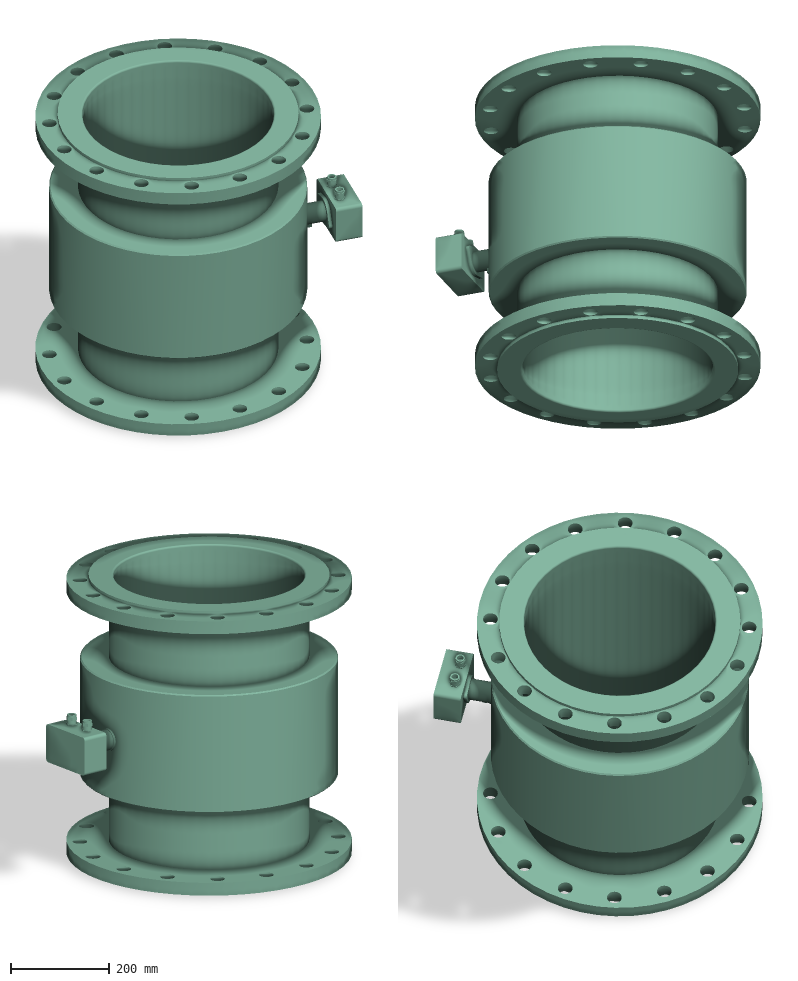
import cadquery as cq
import math

FACE_TO_FACE = 600.0
FLANGE_DIAMETER = 580.0
FLANGE_THICKNESS = 27.0
RAISED_FACE_DIAMETER = 490.0
RAISED_FACE_HEIGHT = 7.0
TUBE_DIAMETER = 407.5
BORE_DIAMETER = 389.0
BORE_LIP_RADIUS = 4.0

BOLT_COUNT = 16
BOLT_HOLE_DIAMETER = 30.0
BOLT_CIRCLE_DIAMETER = 526.0
BOLT_PATTERN_TURN = -1.2

DRUM_DIAMETER = 524.5
DRUM_LENGTH = 251.5
DRUM_WALL = 2.0
DRUM_END_PLATE = 8.5
DRUM_CHAMFER = 2.5

OVERALL_DEPTH = 664.0
BOX_WIDTH = 125.5
BOX_DEPTH = 56.5
BOX_HEIGHT = 81.0
BOX_EDGE_RADIUS = 6.5

PLATE_THICKNESS = 7.0
PLATE_HUB_DIAMETER = 58.0
PLATE_EAR_RADIUS = 6.3
PLATE_EAR_OFFSET = 36.0
PLATE_TILT = 26.0

NECK_DIAMETER = 43.0
COLLAR_DIAMETER = 46.5
COLLAR_HEIGHT = 4.0

STUD_WIDTH = 9.0
STUD_LENGTH = 30.5
STUD_Y = 280.0

GLAND_SPACING = 50.5
GLAND_Y = 337.0
GLAND_HEX_FLATS = 19.0
GLAND_BODY_DIAMETER = 18.5
GLAND_BORE_DIAMETER = 13.0
GLAND_BASE_HEIGHT = 2.5
GLAND_NUT_START = 11.0
GLAND_NUT_HEIGHT = 6.0
GLAND_HEIGHT = 22.0

HEAD_BACK_Y = OVERALL_DEPTH - FLANGE_DIAMETER / 2
DRUM_RADIUS = DRUM_DIAMETER / 2
BOX_FRONT_Y = HEAD_BACK_Y - BOX_DEPTH
PLATE_FRONT_Y = BOX_FRONT_Y - PLATE_THICKNESS


def disc(diameter, bottom_z, height):
    return cq.Workplane("XY").workplane(offset=bottom_z).circle(diameter / 2).extrude(height)


def cylinder_along_y(diameter, start_y, end_y):
    return cq.Workplane("XZ", origin=(0, start_y, 0)).circle(diameter / 2).extrude(start_y - end_y)


def bolt_holes():
    pitch = 360 / BOLT_COUNT
    return (
        cq.Workplane("XY")
        .workplane(offset=-FACE_TO_FACE / 2)
        .polarArray(BOLT_CIRCLE_DIAMETER / 2, pitch / 2 + BOLT_PATTERN_TURN, 360, BOLT_COUNT)
        .circle(BOLT_HOLE_DIAMETER / 2)
        .extrude(FACE_TO_FACE)
    )


def make_flanged_tube():
    end_z = FACE_TO_FACE / 2
    flange_outer_z = end_z - RAISED_FACE_HEIGHT
    flange_inner_z = flange_outer_z - FLANGE_THICKNESS
    tube = disc(TUBE_DIAMETER, -end_z, FACE_TO_FACE)
    for flange_bottom in (flange_inner_z, -flange_outer_z):
        tube = tube.union(disc(FLANGE_DIAMETER, flange_bottom, FLANGE_THICKNESS))
    for face_bottom in (flange_outer_z, -end_z):
        tube = tube.union(disc(RAISED_FACE_DIAMETER, face_bottom, RAISED_FACE_HEIGHT))
    tube = tube.cut(bolt_holes())
    tube = tube.cut(disc(BORE_DIAMETER, -end_z, FACE_TO_FACE))
    bore_mouths = cq.selectors.RadiusNthSelector(0)
    return tube.faces("<Z or >Z").edges(bore_mouths).fillet(BORE_LIP_RADIUS)


def make_drum():
    """Thin-walled chamfered drum; its end plates fit the tube, which closes the cavity."""
    cavity_length = DRUM_LENGTH - 2 * DRUM_END_PLATE
    drum = disc(DRUM_DIAMETER, -DRUM_LENGTH / 2, DRUM_LENGTH)
    drum = drum.faces("<Z or >Z").edges().chamfer(DRUM_CHAMFER)
    drum = drum.cut(disc(DRUM_DIAMETER - 2 * DRUM_WALL, -cavity_length / 2, cavity_length))
    return drum.cut(disc(TUBE_DIAMETER, -DRUM_LENGTH / 2, DRUM_LENGTH))


def make_box():
    return (
        cq.Workplane("XY")
        .box(BOX_WIDTH, BOX_DEPTH, BOX_HEIGHT)
        .edges("|Y")
        .fillet(BOX_EDGE_RADIUS)
        .translate((0, HEAD_BACK_Y - BOX_DEPTH / 2, 0))
    )


def make_mounting_plate():
    """Rhombic two-eared plate: a hub circle joined to both ear circles by tangent lines."""
    hub = PLATE_HUB_DIAMETER / 2
    ear = PLATE_EAR_RADIUS
    offset = PLATE_EAR_OFFSET
    sine = (hub - ear) / offset
    cosine = math.sqrt(1 - sine**2)
    ear_x = offset + ear * sine
    ear_z = ear * cosine
    hub_x = hub * sine
    hub_z = hub * cosine
    return (
        cq.Workplane("XZ", origin=(0, BOX_FRONT_Y, 0))
        .moveTo(-hub_x, hub_z)
        .threePointArc((0, hub), (hub_x, hub_z))
        .lineTo(ear_x, ear_z)
        .threePointArc((offset + ear, 0), (ear_x, -ear_z))
        .lineTo(hub_x, -hub_z)
        .threePointArc((0, -hub), (-hub_x, -hub_z))
        .lineTo(-ear_x, -ear_z)
        .threePointArc((-offset - ear, 0), (-ear_x, ear_z))
        .close()
        .extrude(PLATE_THICKNESS)
        .rotate((0, 0, 0), (0, 1, 0), PLATE_TILT)
    )


def make_neck():
    """Neck and collar, ended on the drum surface, with a square grounding stud underneath."""
    neck = cylinder_along_y(NECK_DIAMETER, 0, PLATE_FRONT_Y)
    collar = cylinder_along_y(COLLAR_DIAMETER, 0, DRUM_RADIUS + COLLAR_HEIGHT)
    stud = (
        cq.Workplane("XY", origin=(0, STUD_Y, 0))
        .rect(STUD_WIDTH, STUD_WIDTH)
        .extrude(-STUD_LENGTH)
    )
    drum_space = disc(DRUM_DIAMETER, -DRUM_LENGTH / 2, DRUM_LENGTH)
    return neck.union(collar).union(stud).cut(drum_space)


def hex_prism(flats, bottom_z, height):
    """Hexagonal prism with flats facing +X and -X."""
    corners = flats / math.cos(math.pi / 6)
    prism = cq.Workplane("XY").workplane(offset=bottom_z).polygon(6, corners).extrude(height)
    return prism.rotate((0, 0, 0), (0, 0, 1), 30)


def make_gland(x):
    gland = disc(GLAND_BODY_DIAMETER, 0, GLAND_HEIGHT)
    gland = gland.union(hex_prism(GLAND_HEX_FLATS, 0, GLAND_BASE_HEIGHT))
    gland = gland.union(hex_prism(GLAND_HEX_FLATS, GLAND_NUT_START, GLAND_NUT_HEIGHT))
    gland = gland.cut(disc(GLAND_BORE_DIAMETER, GLAND_NUT_START, GLAND_HEIGHT))
    return gland.translate((x, GLAND_Y, BOX_HEIGHT / 2))


def make_terminal_head():
    head = make_box().union(make_mounting_plate()).union(make_neck())
    for side in (-1, 1):
        head = head.union(make_gland(side * GLAND_SPACING / 2))
    return head


flanged_tube = make_flanged_tube()
drum = make_drum()
terminal_head = make_terminal_head()

result = cq.Compound.makeCompound([flanged_tube.val(), drum.val(), terminal_head.val()])